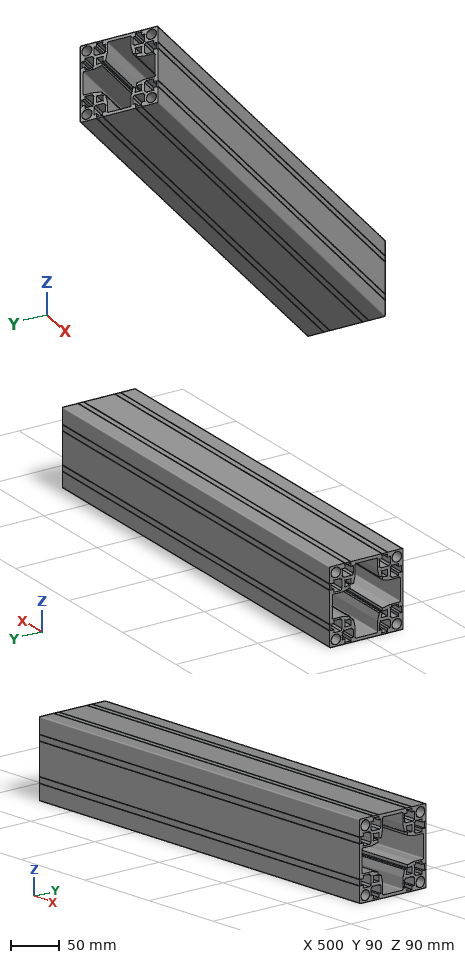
import cadquery as cq

length = 500.0
side = 90.0
half_side = side / 2
corner_radius = 1.5

slot_centre = 22.5

skin = 2.0
mouth_width = 7.0
chamber_width = 13.5
chamber_floor = 29.5
chamber_top = 39.5
chamber_chamfer = 2.0

groove_width = 0.5
groove_depth = 0.25

bore_diameter = 11.5
bore_wall = 2.0
bore_centre = half_side - bore_wall - bore_diameter / 2

wall = 3.5
web = 2.0
cavity_reach = half_side - wall
cavity_fillet = 1.5
cavity_half_width = slot_centre - chamber_width / 2 - web

pocket_far = 26.0
pocket_root = 18.5
pocket_near = 19.0
arm_root = 28.5
arm_tip = 20.0
arm_lean = 2.0


def prism(outline):
    """Full-length prism over a closed (Y, Z) outline."""
    return cq.Workplane("YZ").polyline(outline).close().extrude(length)


def block(y_min, y_max, z_min, z_max):
    """Full-length block between two Y and two Z positions."""
    return prism([(y_min, z_min), (y_max, z_min), (y_max, z_max), (y_min, z_max)])


def turned(shape, quarter):
    """The shape turned about the bar's axis by a number of quarter turns."""
    return shape.rotate((0, 0, 0), (1, 0, 0), 90 * quarter)


def cavity_quadrant():
    """Cavity and core pocket in the +Y, +Z quadrant, symmetric about its diagonal."""
    upper_half = [
        (0, cavity_reach),
        (cavity_half_width, cavity_reach),
        (cavity_half_width, arm_root),
        (cavity_half_width + arm_lean, arm_tip),
        (pocket_near, arm_tip),
        (pocket_root, pocket_far),
    ]
    lower_half = [(z, y) for y, z in reversed(upper_half)]
    quadrant = prism([(0, 0)] + upper_half + [(pocket_far, pocket_far)] + lower_half)
    wall_corners = [(cavity_half_width, cavity_reach), (cavity_reach, cavity_half_width)]
    for y, z in wall_corners:
        corner_edge = cq.selectors.NearestToPointSelector((length / 2, y, z))
        quadrant = quadrant.edges(corner_edge).fillet(cavity_fillet)
    return quadrant


def slot():
    """Closed slot under the +Z face on the +Y side, with its two outer grooves."""
    half_chamber = chamber_width / 2
    mouth_edges = (slot_centre - mouth_width / 2, slot_centre + mouth_width / 2)
    chamber = block(slot_centre - half_chamber, slot_centre + half_chamber, chamber_floor, chamber_top)
    chamber = chamber.edges("|X and <Z").chamfer(chamber_chamfer)
    cut = chamber.union(block(*mouth_edges, chamber_floor, half_side - skin))
    for y in mouth_edges:
        groove = [
            (y - groove_width / 2, half_side),
            (y, half_side - groove_depth),
            (y + groove_width / 2, half_side),
        ]
        cut = cut.union(prism(groove))
    return cut


def corner_bore():
    return cq.Workplane("YZ").center(bore_centre, bore_centre).circle(bore_diameter / 2).extrude(length)


bar = block(-half_side, half_side, -half_side, half_side)
bar = bar.edges("|X").fillet(corner_radius)

right_slot = slot()
left_slot = right_slot.mirror("XZ")
for quarter in range(4):
    for cut in (cavity_quadrant(), corner_bore(), right_slot, left_slot):
        bar = bar.cut(turned(cut, quarter))

result = bar